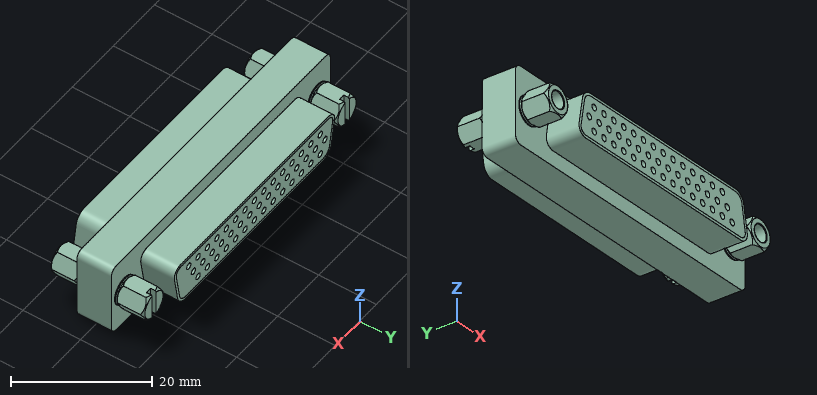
import cadquery as cq
import math


length = 53.35
depth = 17.65
height = 12.95

plate_thickness = 6.0
plate_corner_radius = 1.25
shell_length = (depth - plate_thickness) / 2
shell_height = 7.9
shell_mean_width = 38.25
side_slope = 10.0
wide_corner_radius = 1.55
narrow_corner_radius = 2.05
shell_wall = 0.5

socket_diameter = 1.0
socket_row_length = 32.0
sockets_per_row = 15
socket_pitch = socket_row_length / (sockets_per_row - 1)
socket_row_spacing = 2.0

fastener_spacing = 47.0
hex_across_flats = 4.7
hex_across_corners = hex_across_flats / math.cos(math.radians(30))
fastener_height = 5.2
washer_face_height = 0.3
washer_face_radius = 2.4
washer_face_rim = washer_face_height / 2
hex_end_radius = 2.25
hex_chamfer = hex_across_corners / 2 - hex_end_radius
thread_diameter = 2.8
bore_mouth_diameter = 3.0
point_diameter = 2.25
point_length = 0.55
tip_diameter = 1.65
bore_mouth_chamfer = (bore_mouth_diameter - thread_diameter) / 2
rod_chamfer = (thread_diameter - point_diameter) / 2
tip_chamfer = (point_diameter - tip_diameter) / 2
tip_recess = 3.2
slot_width = 1.0
slot_depth = 0.95

plate_face = plate_thickness / 2
fastener_positions = [-fastener_spacing / 2, fastener_spacing / 2]


def along_y(start):
    """Workplane at Y = start with local X, Y along global X, Z; extrusions run toward -Y."""
    return cq.Workplane(cq.Plane(origin=(0, start, 0), xDir=(1, 0, 0), normal=(0, -1, 0)))


def cylinder_y(diameter, start, end):
    """Cylinder about the Y axis between two Y positions."""
    return along_y(start).circle(diameter / 2).extrude(start - end)


def turned_to_back(body):
    """Half a turn about X: the front face of a body becomes the back one, upside down."""
    return body.rotate((0, 0, 0), (1, 0, 0), 180)


def d_prism(inset):
    """Front D-shaped block, wide side down, inset on all sides."""
    slope = math.radians(side_slope)
    half_height = shell_height / 2 - inset
    half_width = shell_mean_width / 2 - inset / math.cos(slope)
    taper = half_height * math.tan(slope)
    outline = [
        (-half_width - taper, -half_height),
        (half_width + taper, -half_height),
        (half_width - taper, half_height),
        (-half_width + taper, half_height),
    ]
    block = along_y(-plate_face).polyline(outline).close().extrude(shell_length)
    block = block.edges("|Y and <Z").fillet(wide_corner_radius - inset)
    return block.edges("|Y and >Z").fillet(narrow_corner_radius - inset)


def make_housing():
    """Plate with a hollow shell on each side and a close-fitting hole for each screw."""
    plate = cq.Workplane("XY").box(length, plate_thickness, height)
    plate = plate.edges("|Y").fillet(plate_corner_radius)
    shell = d_prism(0).cut(d_prism(shell_wall))
    housing = plate.union(shell).union(turned_to_back(shell))
    screw_hole = cylinder_y(thread_diameter, -plate_face, plate_face)
    for x in fastener_positions:
        housing = housing.cut(screw_hole.translate((x, 0, 0)))
    return housing


def make_insert():
    """Front socket block: three staggered rows of through holes, the top row one short."""
    row_start = -socket_row_length / 2
    row_layout = [
        (-socket_row_spacing, row_start, sockets_per_row),
        (0, row_start - socket_pitch / 2, sockets_per_row),
        (socket_row_spacing, row_start, sockets_per_row - 1),
    ]
    sockets = [
        (start + column * socket_pitch, z)
        for z, start, count in row_layout
        for column in range(count)
    ]
    holes = along_y(-plate_face).pushPoints(sockets).circle(socket_diameter / 2).extrude(shell_length)
    return d_prism(shell_wall).cut(holes)


def make_hex_head():
    """Hexagon in front of the plate on a round washer face, its corners chamfered at both ends."""
    hex_start = -plate_face - washer_face_height
    hex_height = fastener_height - washer_face_height
    prism = along_y(hex_start).polygon(6, hex_across_corners).extrude(hex_height)
    chamfered_round = along_y(hex_start).circle(hex_across_corners / 2).extrude(hex_height)
    chamfered_round = chamfered_round.edges().chamfer(hex_chamfer)
    washer_face = along_y(-plate_face).circle(washer_face_radius).extrude(washer_face_height)
    washer_face = washer_face.faces("<Y").edges().chamfer(
        washer_face_height - washer_face_rim, washer_face_radius - hex_end_radius
    )
    return prism.intersect(chamfered_round).union(washer_face)


def make_nut():
    """Front hexagonal nut with a through bore, chamfered at its open end."""
    open_end = -plate_face - fastener_height
    nut = make_hex_head().cut(cylinder_y(thread_diameter, open_end, -plate_face))
    bore_mouth = nut.faces("<Y").edges(cq.selectors.RadiusNthSelector(0))
    return bore_mouth.chamfer(bore_mouth_chamfer)


def make_screw():
    """Slotted hexagonal screw on the back, its rod passing through the plate into the nut.

    The rod ends in a narrower point, both with chamfered ends.
    """
    head_end = plate_face + fastener_height
    tip_end = -plate_face - fastener_height + tip_recess
    slot = cq.Workplane("XY").box(slot_width, 2 * slot_depth, hex_across_corners)
    rod_end = tip_end + point_length
    rod = cylinder_y(thread_diameter, rod_end, plate_face).faces("<Y").chamfer(rod_chamfer)
    point = cylinder_y(point_diameter, tip_end, rod_end).faces("<Y").chamfer(tip_chamfer)
    head = turned_to_back(make_hex_head()).cut(slot.translate((0, head_end, 0)))
    return head.union(rod).union(point)


housing = make_housing()
front_insert = make_insert()
back_insert = turned_to_back(front_insert)
nuts = [make_nut().translate((x, 0, 0)) for x in fastener_positions]
screws = [make_screw().translate((x, 0, 0)) for x in fastener_positions]

bodies = [housing, front_insert, back_insert, *nuts, *screws]
result = cq.Compound.makeCompound([body.val() for body in bodies])